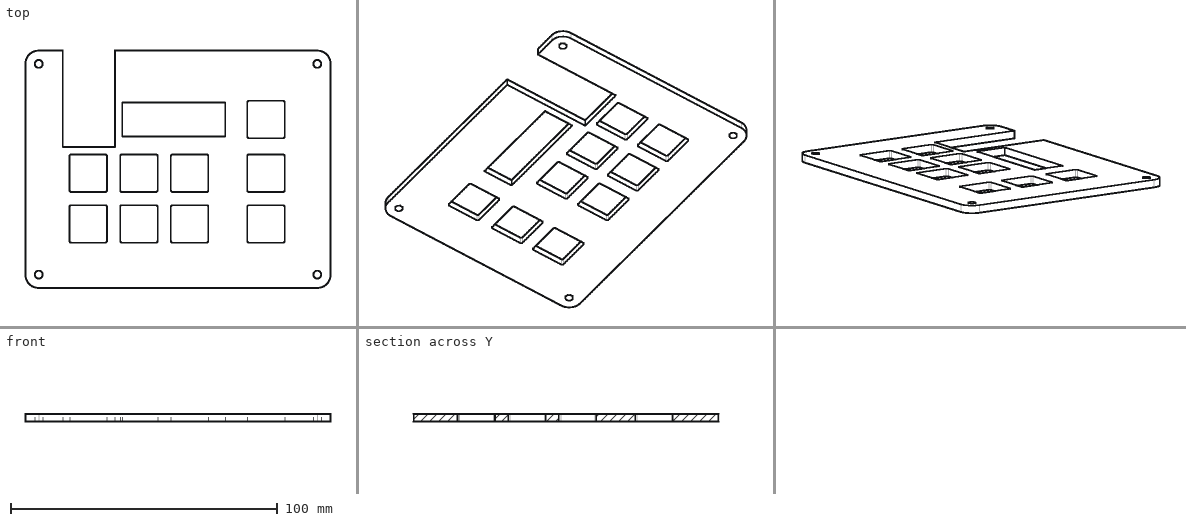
import cadquery as cq

plate_length = 114.5
plate_width = 89.1
plate_thickness = 3.0
corner_radius = 5.0

screw_diameter = 2.9

key_size = 14.0
key_corner_radius = 0.6
key_pitch = 19.0
first_column_x = -33.7
side_column_x = 33.0
upper_row_y = -1.5
lower_row_y = upper_row_y - key_pitch
single_key_y = 18.7

notch_width = 19.5
notch_depth = 36.2
notch_center_x = -33.4

window_length = 38.6
window_width = 12.6
window_center = (-1.6, 18.7)


def through_box(length, width, center):
    """Block spanning the plate thickness, used to cut an opening."""
    return (
        cq.Workplane("XY")
        .center(*center)
        .rect(length, width)
        .extrude(plate_thickness)
    )


def key_opening(center):
    """Square cutter with slightly rounded corners."""
    return through_box(key_size, key_size, center).edges("|Z").fillet(key_corner_radius)


plate = through_box(plate_length, plate_width, (0, 0)).edges("|Z").fillet(corner_radius)

screw_holes = (
    cq.Workplane("XY")
    .rect(plate_length - 2 * corner_radius, plate_width - 2 * corner_radius, forConstruction=True)
    .vertices()
    .circle(screw_diameter / 2)
    .extrude(plate_thickness)
)
result = plate.cut(screw_holes)

notch_center_y = (plate_width - notch_depth) / 2
result = result.cut(through_box(notch_width, notch_depth, (notch_center_x, notch_center_y)))
result = result.cut(through_box(window_length, window_width, window_center))

column_positions = [first_column_x + i * key_pitch for i in range(3)] + [side_column_x]
for column_x in column_positions:
    for row_y in (upper_row_y, lower_row_y):
        result = result.cut(key_opening((column_x, row_y)))

result = result.cut(key_opening((side_column_x, single_key_y)))